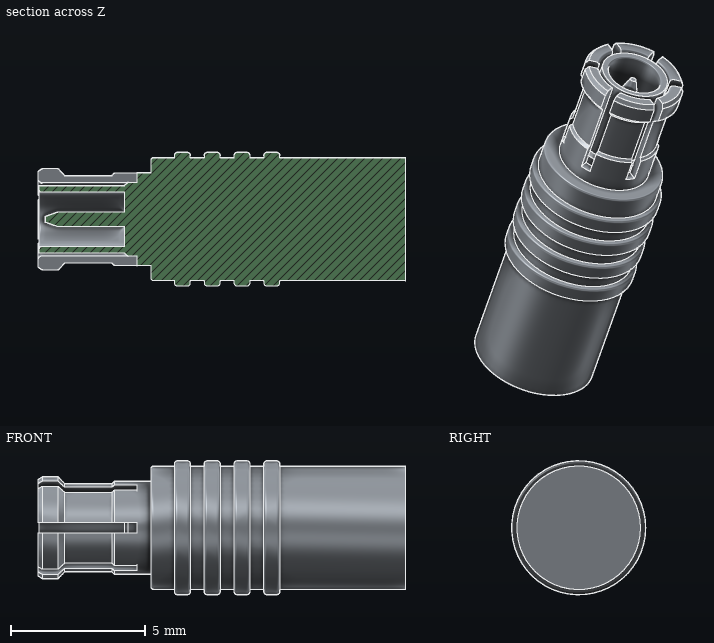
import cadquery as cq

LENGTH = 13.7

BARREL_START = 4.2
BARREL_RADIUS = 2.3
BARREL_EDGE_ROUND = 0.11

RING_COUNT = 4
RING_START = 5.08
RING_PITCH = 1.11
RING_WIDTH = 0.6
RING_DIAMETER = 5.0
RING_EDGE_ROUND = 0.12

HEAD_RADIUS = 1.9
HEAD_FACE_RADIUS = 1.8
HEAD_BEVEL_LENGTH = 0.16
HEAD_END = 0.75
NECK_RADIUS = 1.65
NECK_START = 1.0
NECK_END = 2.75
COLLAR_RADIUS = 1.74
COLLAR_START = 2.85
SLEEVE_BORE_RADIUS = 1.38
SLEEVE_MOUTH_ROUND = 0.15

SLOT_COUNT = 6
SLOT_WIDTH = 0.38
SLOT_END = 3.69

TUBE_START = 0.04
TUBE_RADIUS = 1.26
TUBE_BORE_RADIUS = 1.01
TUBE_MOUTH_ROUND = 0.08
FLARE_START = 3.22
FLARE_END = 3.35

PIN_START = 0.27
PIN_RADIUS = 0.27
PIN_TIP_RADIUS = 0.11
PIN_TIP_LENGTH = 0.45


def revolve_x(profile):
    """Turn a closed XY profile around the X axis."""
    return profile.close().revolve(360, (0, 0, 0), (1, 0, 0))


def cylinder_x(start, end, radius):
    """Solid cylinder on the X axis between two X positions."""
    return cq.Workplane("YZ").workplane(offset=start).circle(radius).extrude(end - start)


def make_barrel():
    barrel = cylinder_x(BARREL_START, LENGTH, BARREL_RADIUS)
    barrel = barrel.faces("<X").edges().fillet(BARREL_EDGE_ROUND)
    for index in range(RING_COUNT):
        start = RING_START + index * RING_PITCH
        ring = cylinder_x(start, start + RING_WIDTH, RING_DIAMETER / 2)
        barrel = barrel.union(ring.edges("%CIRCLE").fillet(RING_EDGE_ROUND))
    return barrel


def make_slots():
    """Radial slots around the axis, open at the mating end."""
    slot = cq.Workplane("XY").box(SLOT_END, HEAD_RADIUS, SLOT_WIDTH, centered=(False, False, True))
    slots = slot
    for index in range(1, SLOT_COUNT):
        slots = slots.union(slot.rotate((0, 0, 0), (1, 0, 0), index * 360 / SLOT_COUNT))
    return slots


def make_sleeve():
    """Slotted sleeve, hollow up to the slot ends."""
    sleeve = revolve_x(
        cq.Workplane("XY")
        .moveTo(0, 0)
        .lineTo(0, HEAD_FACE_RADIUS)
        .lineTo(HEAD_BEVEL_LENGTH, HEAD_RADIUS)
        .lineTo(HEAD_END, HEAD_RADIUS)
        .lineTo(NECK_START, NECK_RADIUS)
        .lineTo(NECK_END, NECK_RADIUS)
        .lineTo(COLLAR_START, COLLAR_RADIUS)
        .lineTo(BARREL_START, COLLAR_RADIUS)
        .lineTo(BARREL_START, 0)
    )
    sleeve = sleeve.cut(cylinder_x(0, SLOT_END, SLEEVE_BORE_RADIUS))
    mouth = cq.selectors.RadiusNthSelector(0)
    sleeve = sleeve.faces("<X").edges(mouth).fillet(SLEEVE_MOUTH_ROUND)
    return sleeve.cut(make_slots())


def make_tube():
    """Inner tube whose flared root closes the gap to the sleeve bore."""
    tube = revolve_x(
        cq.Workplane("XY")
        .moveTo(TUBE_START, 0)
        .lineTo(TUBE_START, TUBE_RADIUS)
        .lineTo(FLARE_START, TUBE_RADIUS)
        .lineTo(FLARE_END, SLEEVE_BORE_RADIUS)
        .lineTo(BARREL_START, SLEEVE_BORE_RADIUS)
        .lineTo(BARREL_START, 0)
    )
    tube = tube.cut(cylinder_x(TUBE_START, FLARE_START, TUBE_BORE_RADIUS))
    mouth = cq.selectors.RadiusNthSelector(0)
    return tube.faces("<X").edges(mouth).fillet(TUBE_MOUTH_ROUND)


def make_pin():
    return revolve_x(
        cq.Workplane("XY")
        .moveTo(PIN_START, 0)
        .lineTo(PIN_START, PIN_TIP_RADIUS)
        .lineTo(PIN_START + PIN_TIP_LENGTH, PIN_RADIUS)
        .lineTo(BARREL_START, PIN_RADIUS)
        .lineTo(BARREL_START, 0)
    )


result = make_barrel().union(make_sleeve()).union(make_tube()).union(make_pin())